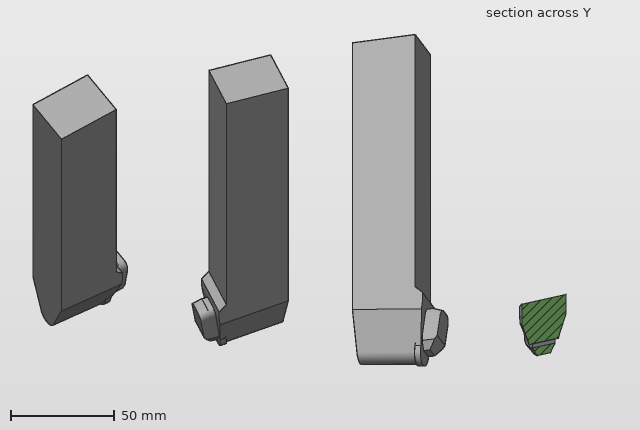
import cadquery as cq
import math

shank_width = 25.0
shank_depth = 32.0
total_height = 171.0
head_tilt = 7.5
shoulder_depth = 35.7
shoulder_top = 36.5
shoulder_bottom = 32.7

taper_angle = 20.4
insert_radius = 6.3
nose_clearance = 0.9
nose_radius = insert_radius - nose_clearance
cutter_reach = 136.8

insert_thickness = 3.0
insert_length = 12.7

jaw_width = 2 * insert_radius
jaw_top_radius = 4.0
jaw_nose_chamfer_height = 4.3
jaw_nose_chamfer_inset = 2.5
jaw_depth = 43.3
jaw_top = 27.9
jaw_outer_top = 26.2
jaw_ledge_inner = 36.8
jaw_ledge_outer = 38.6
jaw_outer_bottom = 11.8
jaw_outer_bottom_depth = 41.2
jaw_bottom = 5.8
jaw_bottom_outer = 36.8
jaw_bottom_inner = 33.5
jaw_root_bottom = 12.8

tilt_slope = math.tan(math.radians(head_tilt))
taper_sin = math.sin(math.radians(taper_angle))
taper_cos = math.cos(math.radians(taper_angle))


def face_depth(height):
    """Y of the leaning head face at a given height."""
    return shank_depth + height * tilt_slope


face_plane = cq.Plane(
    origin=(0, shank_depth, 0),
    xDir=(1, 0, 0),
    normal=(0, -1, tilt_slope),
)


def make_blank():
    """Shank and head before the pointed end is cut."""
    face_top = (shoulder_depth - shank_depth) / tilt_slope
    outline = [
        (0, 0),
        (shank_depth, 0),
        (shoulder_depth, face_top),
        (shoulder_depth, shoulder_bottom),
        (shank_depth, shoulder_top),
        (shank_depth, total_height),
        (0, total_height),
    ]
    return cq.Workplane("YZ").polyline(outline).close().extrude(shank_width / 2, both=True)


def make_point_envelope():
    """Round-nosed wedge, square to the leaning face, that bounds the pointed end."""
    half_width = shank_width / 2
    tangent_x = nose_radius * taper_cos
    tangent_height = insert_radius - nose_radius * taper_sin
    flank_top = tangent_height + (half_width - tangent_x) * taper_cos / taper_sin
    upper_end = 2 * total_height
    start = -cutter_reach / 2
    return (
        cq.Workplane(face_plane)
        .workplane(offset=start)
        .moveTo(-tangent_x, tangent_height)
        .threePointArc((0, nose_clearance), (tangent_x, tangent_height))
        .lineTo(half_width, flank_top)
        .lineTo(half_width, upper_end)
        .lineTo(-half_width, upper_end)
        .lineTo(-half_width, flank_top)
        .close()
        .extrude(cutter_reach)
    )


def make_insert():
    """Round-ended insert lying flush with the leaning face."""
    return (
        cq.Workplane(face_plane)
        .moveTo(-insert_radius, insert_radius)
        .threePointArc((0, 0), (insert_radius, insert_radius))
        .lineTo(insert_radius, insert_length)
        .lineTo(-insert_radius, insert_length)
        .close()
        .extrude(insert_thickness)
    )


def make_jaw():
    """Jaw overhanging the insert, with rounded top edges and a chamfered nose."""
    outline = [
        (face_depth(jaw_root_bottom), jaw_root_bottom),
        (jaw_bottom_inner, jaw_bottom),
        (jaw_bottom_outer, jaw_bottom),
        (jaw_outer_bottom_depth, jaw_outer_bottom),
        (jaw_depth, jaw_outer_top),
        (jaw_ledge_outer, jaw_top),
        (jaw_ledge_inner, jaw_top),
        (shank_depth, jaw_top + (jaw_ledge_inner - shank_depth) * tilt_slope),
        (shank_depth, jaw_root_bottom),
    ]
    jaw = cq.Workplane("YZ").polyline(outline).close().extrude(jaw_width / 2, both=True)
    top_edges = cq.selectors.BoxSelector(
        (-jaw_width, shank_depth, jaw_outer_top), (jaw_width, jaw_depth, total_height)
    )
    jaw = jaw.edges(top_edges).edges("not |X").fillet(jaw_top_radius)
    half_width = jaw_width / 2
    corner = [
        (half_width, jaw_bottom),
        (half_width, jaw_bottom + jaw_nose_chamfer_height),
        (half_width - jaw_nose_chamfer_inset, jaw_bottom),
    ]
    right_corner = cq.Workplane("XZ").polyline(corner).close().extrude(-2 * jaw_depth)
    return jaw.cut(right_corner).cut(right_corner.mirror("YZ"))


insert = make_insert()
holder = make_blank().intersect(make_point_envelope()).union(make_jaw()).cut(insert)

result = cq.Compound.makeCompound([holder.solids().val(), insert.val()])